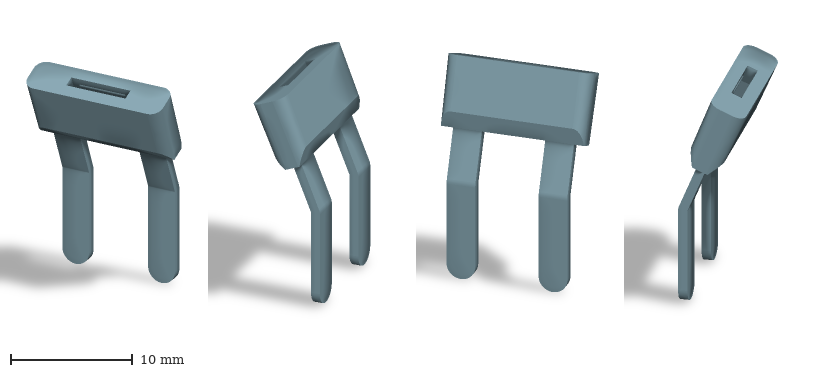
import cadquery as cq
import math

tilt = 22.2
bend_height = 8.6
neck_length = 4.4

leg_width = 2.49
leg_thickness = 0.8
leg_spacing = 7.99
leg_embed = 0.38
bend_radius = 0.23
full_round = 0.999

head_width = 12.6
head_depth = 3.17
head_height = 6.01
corner_radius = 1.0
draft_angle = 0.9
bevel_height = 1.45
bottom_flat = 1.4

slot_length = 5.5
slot_width = 0.95
slot_depth = 1.5
bead_radius = 0.11
bead_straight = 4.07
bead_depth = slot_depth / 2

sin_tilt = math.sin(math.radians(tilt))
cos_tilt = math.cos(math.radians(tilt))
mitre = leg_thickness / 2 * math.tan(math.radians(tilt / 2))


def make_leg(x_center):
    """Bent flat strip with a full-round lower end."""
    half = leg_thickness / 2
    reach = neck_length + leg_embed
    end_y = -reach * sin_tilt
    end_z = bend_height + reach * cos_tilt
    strip = (
        cq.Workplane("YZ")
        .polyline([
            (-half, 0),
            (half, 0),
            (half, bend_height + mitre),
            (end_y + half * cos_tilt, end_z + half * sin_tilt),
            (end_y - half * cos_tilt, end_z - half * sin_tilt),
            (-half, bend_height - mitre),
        ])
        .close()
        .extrude(leg_width / 2, both=True)
    )
    inner_bend = cq.selectors.NearestToPointSelector((0, -half, bend_height - mitre))
    outer_bend = cq.selectors.NearestToPointSelector((0, half, bend_height + mitre))
    strip = strip.edges(inner_bend).fillet(bend_radius)
    strip = strip.edges(outer_bend).fillet(bend_radius + leg_thickness)
    rounded = strip.edges("|Y and <Z").fillet(leg_width / 2 * full_round)
    return rounded.translate((x_center, 0, 0))


def make_head_block():
    """Drafted rounded block, top face at Z = 0, bevelled front and back at the bottom."""
    block = (
        cq.Workplane("XY")
        .sketch()
        .rect(head_width, head_depth)
        .vertices()
        .fillet(corner_radius)
        .finalize()
        .extrude(-head_height, taper=draft_angle)
    )
    bevel_top = bevel_height - head_height
    envelope = (
        cq.Workplane("YZ")
        .polyline([
            (-head_depth / 2, 0),
            (-head_depth / 2, bevel_top),
            (-bottom_flat / 2, -head_height),
            (bottom_flat / 2, -head_height),
            (head_depth / 2, bevel_top),
            (head_depth / 2, 0),
        ])
        .close()
        .extrude(head_width, both=True)
    )
    return block.intersect(envelope)


def make_bead(y_wall):
    """Round bar with ball ends, half sunk into a slot wall."""
    half = bead_straight / 2
    tip = half + bead_radius
    arc_offset = bead_radius * math.sqrt(0.5)
    capsule = (
        cq.Workplane("XY")
        .moveTo(-tip, 0)
        .threePointArc((-half - arc_offset, arc_offset), (-half, bead_radius))
        .lineTo(half, bead_radius)
        .threePointArc((half + arc_offset, arc_offset), (tip, 0))
        .close()
        .revolve(360, (0, 0, 0), (1, 0, 0))
    )
    return capsule.translate((0, y_wall, -bead_depth))


def make_head():
    """Head block with its slot and beads, moved onto the end of the neck."""
    slot = cq.Workplane("XY").rect(slot_length, slot_width).extrude(-slot_depth)
    head = make_head_block().cut(slot)
    for side in (-1, 1):
        head = head.union(make_bead(side * slot_width / 2))
    top_distance = neck_length + head_height
    return (
        head.rotate((0, 0, 0), (1, 0, 0), tilt)
        .translate((0, -top_distance * sin_tilt, bend_height + top_distance * cos_tilt))
    )


result = make_head()
for side in (-1, 1):
    result = result.union(make_leg(side * leg_spacing / 2))